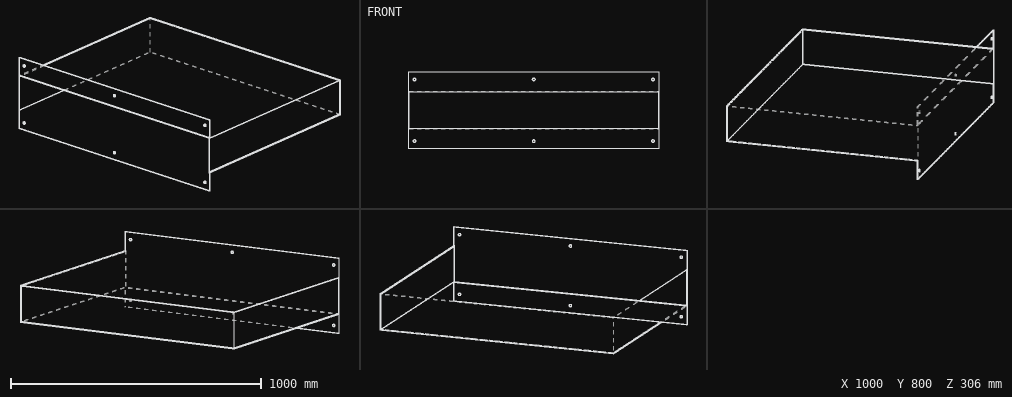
import cadquery as cq

width = 1000.0
depth = 800.0
total_height = 306.0
box_height = 150.0
sheet = 3.0

bend_inner_radius = 3.0
bend_outer_radius = bend_inner_radius + sheet

hole_diameter = 10.0
hole_side_inset = 25.0
hole_edge_inset = 30.0

front_y = -depth / 2
back_y = depth / 2
flange_end_z = total_height / 2
roof_top_z = box_height / 2
roof_underside_z = roof_top_z - sheet
bend_end_z = roof_underside_z + bend_outer_radius
bend_end_y = front_y + bend_outer_radius


def roof_with_flange():
    """Roof sheet bent upward through a right angle at the open front."""
    return (
        cq.Workplane("YZ", origin=(-width / 2, 0, 0))
        .moveTo(back_y, roof_underside_z)
        .lineTo(bend_end_y, roof_underside_z)
        .radiusArc((front_y, bend_end_z), bend_outer_radius)
        .lineTo(front_y, flange_end_z)
        .lineTo(front_y + sheet, flange_end_z)
        .lineTo(front_y + sheet, bend_end_z)
        .radiusArc((bend_end_y, roof_top_z), -bend_inner_radius)
        .lineTo(back_y, roof_top_z)
        .close()
        .extrude(width)
    )


def walls():
    """Two side walls and a back wall, open at the front, roof and floor."""
    outer = cq.Workplane("XY").box(width, depth, box_height)
    cavity = (
        cq.Workplane("XY")
        .box(width - 2 * sheet, depth - sheet, box_height)
        .translate((0, -sheet / 2, 0))
    )
    return outer.cut(cavity)


def flange_holes():
    """Three through holes along each flange."""
    hole_x = width / 2 - hole_side_inset
    hole_z = flange_end_z - hole_edge_inset
    centres = [(x, z) for x in (-hole_x, 0, hole_x) for z in (-hole_z, hole_z)]
    return (
        cq.Workplane("XZ", origin=(0, front_y, 0))
        .pushPoints(centres)
        .circle(hole_diameter / 2)
        .extrude(-sheet)
    )


roof = roof_with_flange()
floor = roof.mirror("XY")
result = walls().union(roof).union(floor).cut(flange_holes())